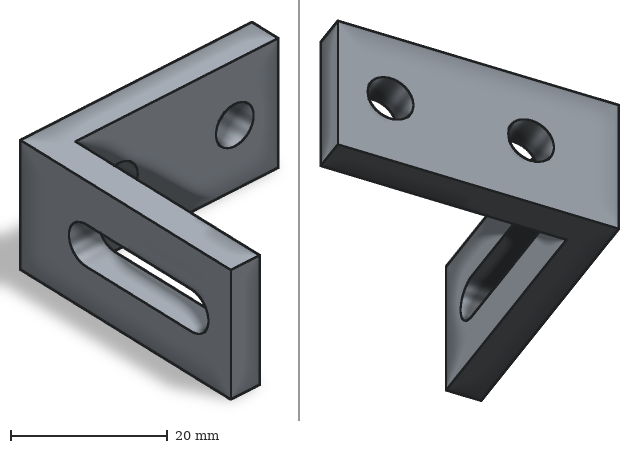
import cadquery as cq

leg_length = 40.0
width = 20.0
thickness = 5.0

hole_diameter = 6.5
end_distance = 7.5
centre_spacing = 20.0
mid_height = width / 2
outer_centre = leg_length - end_distance
inner_centre = outer_centre - centre_spacing


def make_angle():
    """L-shaped profile with its outer corner at the origin, extruded along Z."""
    return (
        cq.Workplane("XY")
        .moveTo(0, 0)
        .lineTo(leg_length, 0)
        .lineTo(leg_length, thickness)
        .lineTo(thickness, thickness)
        .lineTo(thickness, leg_length)
        .lineTo(0, leg_length)
        .close()
        .extrude(width)
    )


def make_holes():
    """Cylinders along X through the leg that runs along Y."""
    return (
        cq.Workplane("YZ")
        .pushPoints([(inner_centre, mid_height), (outer_centre, mid_height)])
        .circle(hole_diameter / 2)
        .extrude(thickness)
    )


def make_slot():
    """Round-ended slot, long in X, cut through the leg that runs along X."""
    slot_middle = (inner_centre + outer_centre) / 2
    return (
        cq.Workplane("XZ")
        .center(slot_middle, mid_height)
        .slot2D(centre_spacing + hole_diameter, hole_diameter)
        .extrude(-thickness)
    )


result = make_angle().cut(make_holes()).cut(make_slot())